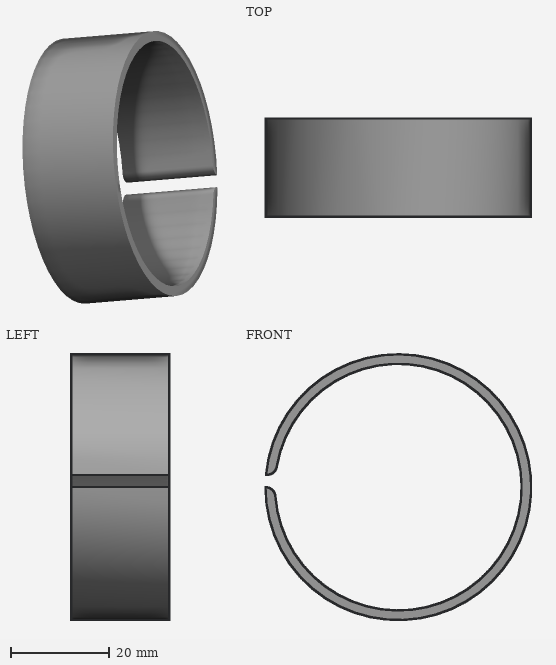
import cadquery as cq
import math

outer_radius = 27.05
wall = 2.0
inner_radius = outer_radius - wall
width = 20.0

gap_bottom = 0.0
gap_height = 2.5
gap_top = gap_bottom + gap_height

lip = 0.001
end_round = wall - lip


def end_point(radius, height):
    """Point on the -X side of a circle around the axis, at a given height."""
    return (-math.sqrt(radius**2 - height**2), height)


def far_point(radius):
    """Point of the same circle diametrically opposite the middle of the gap."""
    x, z = end_point(radius, (gap_bottom + gap_top) / 2)
    return (-x, -z)


def split_ring():
    """Open band running from the gap's bottom, round the +X side, to the gap's top."""
    return (
        cq.Workplane("XZ")
        .moveTo(*end_point(outer_radius, gap_bottom))
        .threePointArc(far_point(outer_radius), end_point(outer_radius, gap_top))
        .lineTo(*end_point(inner_radius, gap_top))
        .threePointArc(far_point(inner_radius), end_point(inner_radius, gap_bottom))
        .close()
        .extrude(width / 2, both=True)
    )


def round_inner_end(ring, height):
    """Round the edge where the bore meets the end face at the given height."""
    x, z = end_point(inner_radius, height)
    edge = cq.selectors.NearestToPointSelector((x, 0, z))
    return ring.edges(edge).fillet(end_round)


result = split_ring()
for end_height in (gap_bottom, gap_top):
    result = round_inner_end(result, end_height)